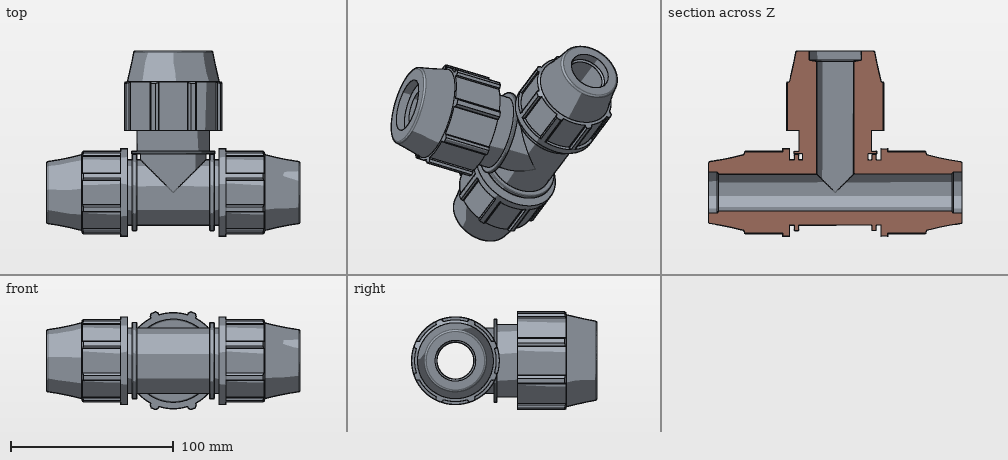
import math

import cadquery as cq


body_radius = 40.5 / 2
waterway_radius = 22.5 / 2

run_collar_radius = 46.98 / 2
run_collar_start = 22.4
run_collar_end = 25.2
run_nut_start = 28.0
run_flange_end = 32.3
run_nut_end = 56.3
run_length = 78.0
run_flange_radius = 27.0
run_nut_radius = 25.1
run_rib_radius = run_flange_radius
run_rib_half_width = 2.35
run_cap_base_radius = 23.35
run_cap_middle = (66.9, 20.85)
run_cap_tip_radius = 19.0
run_socket_radius = 25.0 / 2

branch_collar_radius = 51.2 / 2
branch_collar_start = 23.7
branch_collar_end = 25.5
branch_neck_radius = 44.8 / 2
branch_nut_start = 38.1
branch_nut_end = 68.2
branch_length = 87.0
branch_nut_radius = 29.6
branch_rib_radius = 32.0
branch_rib_half_width = 2.75
branch_cap_base_radius = 28.3
branch_cap_middle = (77.5, 26.1)
branch_cap_tip_radius = 24.2
branch_socket_radius = 32.0 / 2

socket_depth = 5.5
socket_shoulder_depth = 6.4
rib_count = 8
rib_tip_half_width = 1.5
rib_shoulder_fraction = 0.35
nut_bevel_slope = 0.3
cap_edge_radius = 1.2
collar_edge_radius = 0.5
rib_overlap = 1.0


def cylinder(radius, start, end):
    """Cylinder along Z between two heights."""
    return cq.Workplane("XY").workplane(offset=start).circle(radius).extrude(end - start)


def collar(radius, start, end):
    """Ring with both rims rounded."""
    return cylinder(radius, start, end).edges("%CIRCLE").fillet(collar_edge_radius)


def rib(root_radius, tip_radius, half_width, start, end):
    """Grip rib along Z on the +X side: straight flanks up to a shoulder, then sloping in to the tip."""
    inner_radius = root_radius - rib_overlap
    shoulder_radius = root_radius + rib_shoulder_fraction * (tip_radius - root_radius)
    tip_angle = math.asin(rib_tip_half_width / tip_radius)
    tip_corner = tip_radius * math.cos(tip_angle)
    return (
        cq.Workplane("XY")
        .workplane(offset=start)
        .moveTo(inner_radius, -half_width)
        .lineTo(shoulder_radius, -half_width)
        .lineTo(tip_corner, -rib_tip_half_width)
        .threePointArc((tip_radius, 0), (tip_corner, rib_tip_half_width))
        .lineTo(shoulder_radius, half_width)
        .lineTo(inner_radius, half_width)
        .close()
        .extrude(end - start)
    )


def ribbed_nut(nut_radius, rib_radius, rib_half_width, cap_radius, start, end):
    """Round nut with grip ribs; its outer end is a shallow cone rising inwards to the cap."""
    nut = cylinder(nut_radius, start, end)
    one_rib = rib(nut_radius, rib_radius, rib_half_width, start, end)
    pitch = 360 / rib_count
    for index in range(rib_count):
        nut = nut.union(one_rib.rotate((0, 0, 0), (0, 0, 1), (index + 0.5) * pitch))

    bevel_length = (rib_radius - cap_radius) * nut_bevel_slope
    envelope = (
        cq.Workplane("XZ")
        .moveTo(0, start)
        .lineTo(rib_radius, start)
        .lineTo(rib_radius, end - bevel_length)
        .lineTo(cap_radius, end)
        .lineTo(0, end)
        .close()
        .revolve(360, (0, 0, 0), (0, 1, 0))
    )
    return nut.intersect(envelope)


def cap(base_radius, middle, tip_radius, start, end):
    """Taper with a slightly curved side beyond the nut, with a rounded outer rim."""
    middle_height, middle_radius = middle
    return (
        cq.Workplane("XZ")
        .moveTo(0, start)
        .lineTo(base_radius, start)
        .threePointArc((middle_radius, middle_height), (tip_radius, end))
        .lineTo(0, end)
        .close()
        .revolve(360, (0, 0, 0), (0, 1, 0))
        .faces(">Z")
        .edges()
        .fillet(cap_edge_radius)
    )


def run_end():
    """One run end, built along Z."""
    return (
        cylinder(body_radius, 0, run_nut_end)
        .union(collar(run_collar_radius, run_collar_start, run_collar_end))
        .union(cylinder(run_flange_radius, run_nut_start, run_flange_end))
        .union(
            ribbed_nut(
                run_nut_radius,
                run_rib_radius,
                run_rib_half_width,
                run_cap_base_radius,
                run_nut_start,
                run_nut_end,
            )
        )
        .union(cap(run_cap_base_radius, run_cap_middle, run_cap_tip_radius, run_nut_end, run_length))
    )


def branch_end():
    """The branch end, built along Z."""
    return (
        cylinder(body_radius, 0, branch_collar_end)
        .union(collar(branch_collar_radius, branch_collar_start, branch_collar_end))
        .union(cylinder(branch_neck_radius, branch_collar_end, branch_nut_end))
        .union(
            ribbed_nut(
                branch_nut_radius,
                branch_rib_radius,
                branch_rib_half_width,
                branch_cap_base_radius,
                branch_nut_start,
                branch_nut_end,
            )
        )
        .union(
            cap(
                branch_cap_base_radius,
                branch_cap_middle,
                branch_cap_tip_radius,
                branch_nut_end,
                branch_length,
            )
        )
    )


def to_run(shape, side):
    """Turn a shape from +Z to +X (side 1) or -X (side -1)."""
    return shape.rotate((0, 0, 0), (0, 1, 0), side * 90)


def to_branch(shape):
    """Turn a shape from +Z to +Y."""
    return shape.rotate((0, 0, 0), (1, 0, 0), -90)


def bore(socket_radius, length):
    """Pipe socket at the mouth, coned down to the waterway that reaches the centre of the tee."""
    return (
        cq.Workplane("XZ")
        .lineTo(waterway_radius, 0)
        .lineTo(waterway_radius, length - socket_shoulder_depth)
        .lineTo(socket_radius, length - socket_depth)
        .lineTo(socket_radius, length)
        .lineTo(0, length)
        .close()
        .revolve(360, (0, 0, 0), (0, 1, 0))
    )


run_bore = bore(run_socket_radius, run_length)

body = to_run(run_end(), 1).union(to_run(run_end(), -1)).union(to_branch(branch_end()))
result = (
    body.cut(to_run(run_bore, 1))
    .cut(to_run(run_bore, -1))
    .cut(to_branch(bore(branch_socket_radius, branch_length)))
)